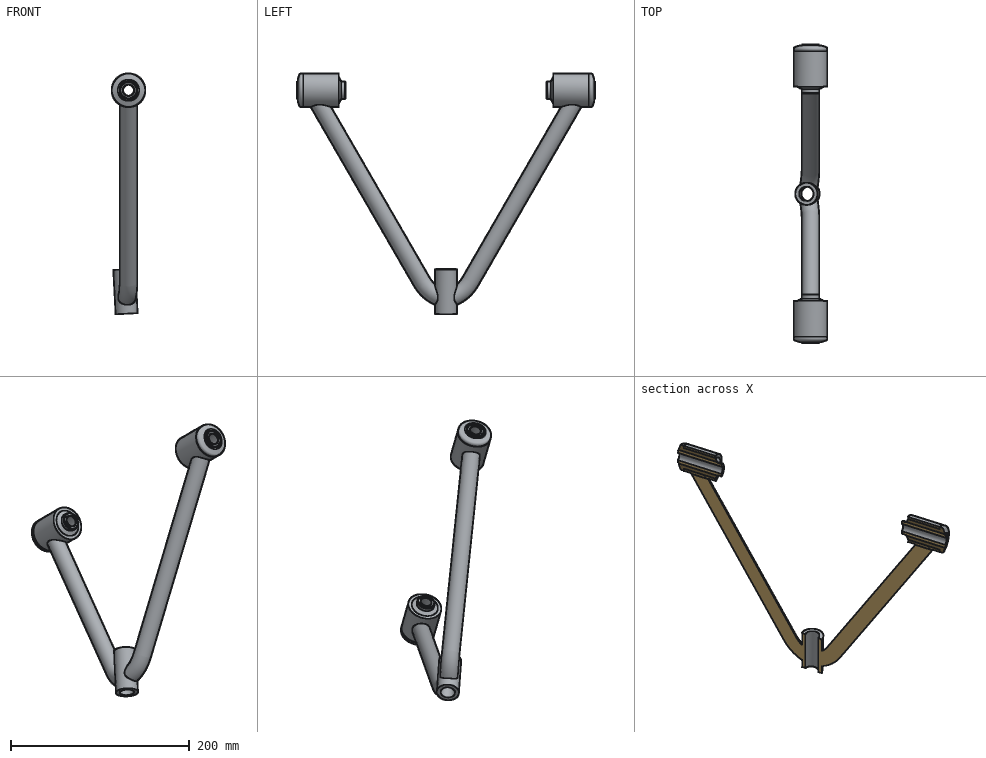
import cadquery as cq
import math



housing_diameter = 38.0
housing_radius = housing_diameter / 2
housing_bore_radius = 15.0
housing_length = 40.0
housing_center_y = 140.0
housing_inner_y = housing_center_y - housing_length / 2
housing_outer_y = housing_center_y + housing_length / 2

overall_span = 334.6
pin_length = 55.0
pin_radius = 10.0
pin_bore_diameter = 12.0
pin_bore_radius = pin_bore_diameter / 2
pin_end_chamfer = 1.0
pin_bore_chamfer = 0.5
pin_outer_y = overall_span / 2
pin_inner_y = pin_outer_y - pin_length

lip_length = 2.7
cone_tip_y = housing_inner_y - lip_length
flange_base_radius = 18.5
flange_flare_length = 1.6
flange_rim_length = 0.4
flange_edge_radius = 2.8
flange_face_angle = 18.0
flange_tip_radius = 12.0

sleeve_outer_diameter = 25.0
sleeve_bore_diameter = 16.0
sleeve_length = 50.0
sleeve_tilt = 3.0
arm_height = 270.1
sleeve_half_height = (
    sleeve_length / 2 * math.cos(math.radians(sleeve_tilt))
    + sleeve_outer_diameter / 2 * math.sin(math.radians(sleeve_tilt))
)
sleeve_center_x = -3.4
sleeve_center_z = housing_radius - arm_height + sleeve_half_height

tube_diameter = 20.0
tube_lean = 30.0
bend_radius = 39.0
tube_corner_z = sleeve_center_z
tube_end_drop = 9.8
tube_depth_into_housing = 14.0


def revolve_about_y(profile):
    """Turn a closed profile drawn in the XY plane once around the Y axis."""
    return profile.close().revolve(360, (0, 0, 0), (0, 1, 0))


def make_housing(side):
    """Plain ring that holds one rubber bush; side is +1 or -1 along Y."""
    profile = (
        cq.Workplane("XY")
        .moveTo(housing_bore_radius, side * housing_inner_y)
        .lineTo(housing_radius, side * housing_inner_y)
        .lineTo(housing_radius, side * housing_outer_y)
        .lineTo(housing_bore_radius, side * housing_outer_y)
    )
    return revolve_about_y(profile)


def make_pin(side):
    """Hollow pin with all four end edges chamfered."""
    pin = (
        cq.Workplane("XZ", origin=(0, side * pin_inner_y, 0))
        .circle(pin_radius)
        .circle(pin_bore_radius)
        .extrude(-side * pin_length)
    )
    bore_edges = cq.selectors.RadiusNthSelector(0)
    rim_edges = cq.selectors.RadiusNthSelector(-1)
    pin = pin.edges("%CIRCLE").edges(bore_edges).chamfer(pin_bore_chamfer)
    return pin.edges("%CIRCLE").edges(rim_edges).chamfer(pin_end_chamfer)


def make_bush(side):
    """Rubber bush: conical inner lip, plain body, and a rounded outer flange."""
    face_angle = math.radians(flange_face_angle)
    rim_start_y = housing_outer_y + flange_flare_length
    rim_end_y = rim_start_y + flange_rim_length
    edge_center_radius = housing_radius - flange_edge_radius

    def edge_point(angle):
        """Point on the rounded rim; the angle is measured from the radial direction."""
        radius = edge_center_radius + flange_edge_radius * math.cos(angle)
        return radius, side * (rim_end_y + flange_edge_radius * math.sin(angle))

    edge_sweep = math.pi / 2 - face_angle
    edge_end_radius, edge_end_y = edge_point(edge_sweep)
    tip_y = edge_end_y + side * (edge_end_radius - flange_tip_radius) * math.tan(face_angle)

    profile = (
        cq.Workplane("XY")
        .moveTo(pin_radius, side * cone_tip_y)
        .lineTo(housing_bore_radius, side * housing_inner_y)
        .lineTo(housing_bore_radius, side * housing_outer_y)
        .lineTo(flange_base_radius, side * housing_outer_y)
        .lineTo(housing_radius, side * rim_start_y)
        .lineTo(housing_radius, side * rim_end_y)
        .threePointArc(edge_point(edge_sweep / 2), (edge_end_radius, edge_end_y))
        .lineTo(flange_tip_radius, tip_y)
        .lineTo(pin_radius, tip_y)
    )
    return revolve_about_y(profile)


def sleeve_cylinder(diameter):
    """Solid cylinder on the tilted sleeve axis, as long as the sleeve."""
    return (
        cq.Workplane("XY")
        .circle(diameter / 2)
        .extrude(sleeve_length / 2, both=True)
        .rotate((0, 0, 0), (0, 1, 0), -sleeve_tilt)
        .translate((sleeve_center_x, 0, sleeve_center_z))
    )


def make_tube(side):
    """Bent tube from inside a housing, around one bend, to the sleeve axis."""
    lean = math.radians(tube_lean)
    housing_foot = cq.Vector(0, side * housing_center_y, -housing_radius)
    outward = cq.Vector(0, side * math.sin(lean), math.cos(lean))
    start = housing_foot + outward * tube_depth_into_housing
    drop_to_corner = housing_foot.z - tube_corner_z
    corner = housing_foot - outward * (drop_to_corner / math.cos(lean))
    end_x = sleeve_center_x + tube_end_drop * math.tan(math.radians(sleeve_tilt))
    end = cq.Vector(end_x, 0, sleeve_center_z - tube_end_drop)
    inward = (end - corner).normalized()

    bend_angle = math.pi - outward.getAngle(inward)
    tangent_length = bend_radius * math.tan(bend_angle / 2)
    bend_start = corner + outward * tangent_length
    bend_end = corner + inward * tangent_length
    bisector = (outward + inward).normalized()
    middle_offset = bend_radius / math.cos(bend_angle / 2) - bend_radius
    bend_middle = corner + bisector * middle_offset

    path = cq.Wire.assembleEdges([
        cq.Edge.makeLine(start, bend_start),
        cq.Edge.makeThreePointArc(bend_start, bend_middle, bend_end),
        cq.Edge.makeLine(bend_end, end),
    ])
    section_plane = cq.Plane(origin=start, xDir=(1, 0, 0), normal=-outward)
    tube = cq.Workplane(section_plane).circle(tube_diameter / 2).sweep(path)

    housing_envelope = (
        cq.Workplane("XZ", origin=(0, side * housing_inner_y, 0))
        .circle(housing_radius)
        .extrude(-side * housing_length)
    )
    return tube.cut(housing_envelope)


def make_arm():
    """Sleeve with one tube welded to each side and a clear through bore."""
    arm = sleeve_cylinder(sleeve_outer_diameter)
    for side in (1, -1):
        arm = arm.union(make_tube(side))
    return arm.cut(sleeve_cylinder(sleeve_bore_diameter))


bodies = [make_arm().solids().val()]
for side in (1, -1):
    bodies.append(make_housing(side).solids().val())
    bodies.append(make_bush(side).solids().val())
    bodies.append(make_pin(side).solids().val())

result = cq.Compound.makeCompound(bodies)